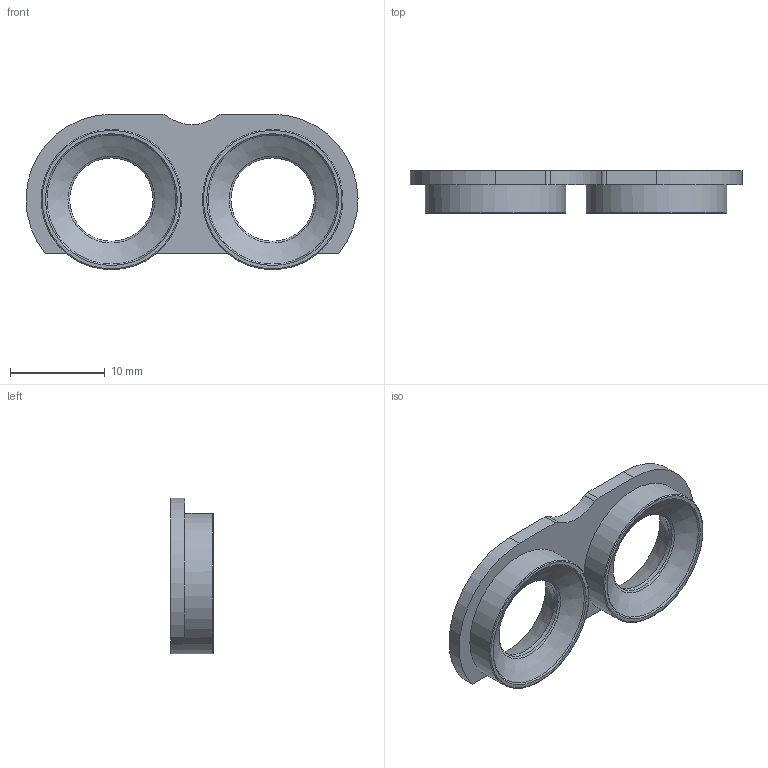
import cadquery as cq
import math

lens_spacing = 17.0
plate_radius = 9.0
plate_thickness = 1.5
bottom_edge_z = -5.7

notch_depth = 1.1
notch_radius = 4.4
notch_corner_radius = 0.8

total_depth = 4.5
ring_radius = 7.4
ring_edge_round = 0.1

funnel_mouth_radius = 6.8
funnel_end_radius = 4.6
throat_radius = 4.4
back_opening_radius = 5.45
funnel_end_depth = 1.5
throat_start_depth = 1.65
throat_end_depth = 2.1
mouth_chamfer = 0.15

lens_x = lens_spacing / 2
lens_centers = (-lens_x, lens_x)
front_y = -total_depth


def make_plate():
    """Rounded plate with a flat bottom edge and a blended notch on top."""
    chord_half_width = math.sqrt(plate_radius**2 - bottom_edge_z**2)
    corner_x = lens_x + chord_half_width

    center_distance = notch_radius + notch_corner_radius
    notch_center_z = plate_radius - notch_depth + notch_radius
    round_center_z = plate_radius - notch_corner_radius
    round_center_x = math.sqrt(center_distance**2 - (notch_center_z - round_center_z)**2)
    tangent_x = round_center_x * notch_radius / center_distance
    tangent_z = round_center_z + (notch_center_z - round_center_z) * notch_corner_radius / center_distance
    half_angle = math.atan2(round_center_x, notch_center_z - round_center_z) / 2
    round_mid_x = round_center_x - notch_corner_radius * math.sin(half_angle)
    round_mid_z = round_center_z + notch_corner_radius * math.cos(half_angle)

    outline = (
        cq.Workplane("XZ")
        .moveTo(-corner_x, bottom_edge_z)
        .threePointArc((-lens_x - plate_radius, 0), (-lens_x, plate_radius))
        .lineTo(-round_center_x, plate_radius)
        .threePointArc((-round_mid_x, round_mid_z), (-tangent_x, tangent_z))
        .threePointArc((0, plate_radius - notch_depth), (tangent_x, tangent_z))
        .threePointArc((round_mid_x, round_mid_z), (round_center_x, plate_radius))
        .lineTo(lens_x, plate_radius)
        .threePointArc((lens_x + plate_radius, 0), (corner_x, bottom_edge_z))
        .close()
    )
    return outline.extrude(plate_thickness)


def make_ring(center_x):
    """Full-depth cylinder with its front outer edge rounded."""
    ring = cq.Workplane("XZ").center(center_x, 0).circle(ring_radius).extrude(total_depth)
    return ring.faces("<Y").edges().fillet(ring_edge_round)


def make_opening(center_x):
    """Revolved cutter for the chamfered funnel, throat and flared back of one opening."""
    profile = (
        cq.Workplane("XY")
        .moveTo(0, front_y)
        .lineTo(funnel_mouth_radius + mouth_chamfer, front_y)
        .lineTo(funnel_mouth_radius, front_y + mouth_chamfer)
        .lineTo(funnel_end_radius, front_y + funnel_end_depth)
        .lineTo(throat_radius, front_y + throat_start_depth)
        .lineTo(throat_radius, front_y + throat_end_depth)
        .lineTo(back_opening_radius, 0)
        .lineTo(0, 0)
        .close()
    )
    return profile.revolve(360, (0, 0), (0, 1)).translate((center_x, 0, 0))


result = make_plate()
for center_x in lens_centers:
    result = result.union(make_ring(center_x))
for center_x in lens_centers:
    result = result.cut(make_opening(center_x))